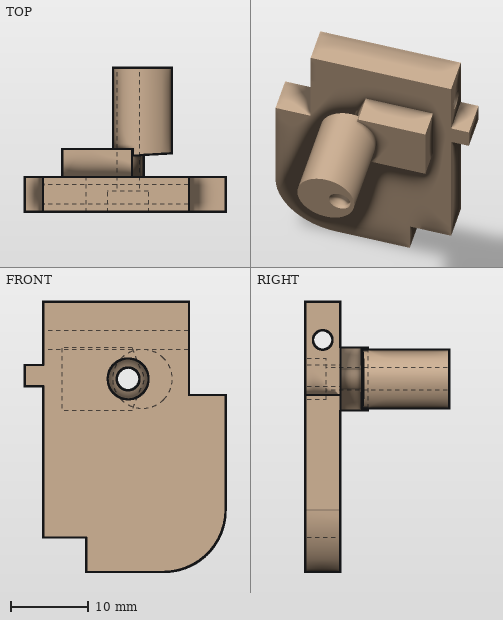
import cadquery as cq
import math

plate_width = 23.62
plate_height = 35.0
plate_thickness = 4.55
shoulder_x = 18.9
shoulder_z = 22.92
foot_notch_width = 5.55
foot_notch_height = 4.45
corner_radius = 8.05

tab_length = 2.38
tab_bottom = 24.0
tab_height = 2.8

bore_x = 11.0
bore_z = 25.0
bore_diameter = 2.9
counterbore_diameter = 5.3
counterbore_depth = 2.7
tube_diameter = 4.1

cross_hole_diameter = 2.5
cross_hole_z = 30.03

block_left = 2.45
block_right = 11.48
block_height = 8.2
block_depth = 3.6
nose_x = 12.55

pin_diameter = 7.65
pin_x = 12.85
pin_end_y = 18.65
pin_start_y = 7.35
pin_start_tilt = 3.3

block_end_y = plate_thickness + block_depth


def prism(workplane, start_y, end_y):
    """Extrude an XZ outline between two Y positions."""
    return workplane.extrude(start_y - end_y).translate((0, start_y, 0))


def rod(diameter, x, z, start_y, end_y):
    """Cylinder along Y."""
    return prism(cq.Workplane("XZ").center(x, z).circle(diameter / 2), start_y, end_y)


def make_plate():
    arc_center_x = plate_width - corner_radius
    arc_mid = (
        arc_center_x + corner_radius * math.cos(math.pi / 4),
        corner_radius * (1 - math.sin(math.pi / 4)),
    )
    outline = (
        cq.Workplane("XZ")
        .moveTo(foot_notch_width, 0)
        .lineTo(arc_center_x, 0)
        .threePointArc(arc_mid, (plate_width, corner_radius))
        .lineTo(plate_width, shoulder_z)
        .lineTo(shoulder_x, shoulder_z)
        .lineTo(shoulder_x, plate_height)
        .lineTo(0, plate_height)
        .lineTo(0, foot_notch_height)
        .lineTo(foot_notch_width, foot_notch_height)
        .close()
    )
    tab = cq.Workplane("XY").box(tab_length, plate_thickness, tab_height, centered=False)
    return prism(outline, 0, plate_thickness).union(tab.translate((-tab_length, 0, tab_bottom)))


def make_block():
    tube_radius = tube_diameter / 2
    half_height = block_height / 2
    nose_half_height = math.sqrt(tube_radius**2 - (nose_x - bore_x) ** 2)
    outline = (
        cq.Workplane("XZ")
        .moveTo(block_left, bore_z - half_height)
        .lineTo(block_right, bore_z - half_height)
        .lineTo(nose_x, bore_z - nose_half_height)
        .threePointArc((bore_x + tube_radius, bore_z), (nose_x, bore_z + nose_half_height))
        .lineTo(block_right, bore_z + half_height)
        .lineTo(block_left, bore_z + half_height)
        .close()
    )
    return prism(outline, plate_thickness, block_end_y)


def make_pin():
    half_tilt_rise = pin_diameter / 2 * math.tan(math.radians(pin_start_tilt))
    left = pin_x - pin_diameter / 2
    right = pin_x + pin_diameter / 2
    side_profile = (
        cq.Workplane("XY")
        .polyline([
            (left, pin_start_y - half_tilt_rise),
            (right, pin_start_y + half_tilt_rise),
            (right, pin_end_y),
            (left, pin_end_y),
        ])
        .close()
        .extrude(plate_height)
    )
    return rod(pin_diameter, pin_x, bore_z, 0, pin_end_y).intersect(side_profile)


bore = rod(bore_diameter, bore_x, bore_z, 0, pin_end_y)
counterbore = rod(counterbore_diameter, bore_x, bore_z, 0, counterbore_depth)
cross_hole = (
    cq.Workplane("YZ")
    .center(plate_thickness / 2, cross_hole_z)
    .circle(cross_hole_diameter / 2)
    .extrude(plate_width)
)

result = (
    make_plate()
    .union(make_block())
    .union(make_pin())
    .cut(bore)
    .cut(counterbore)
    .cut(cross_hole)
)